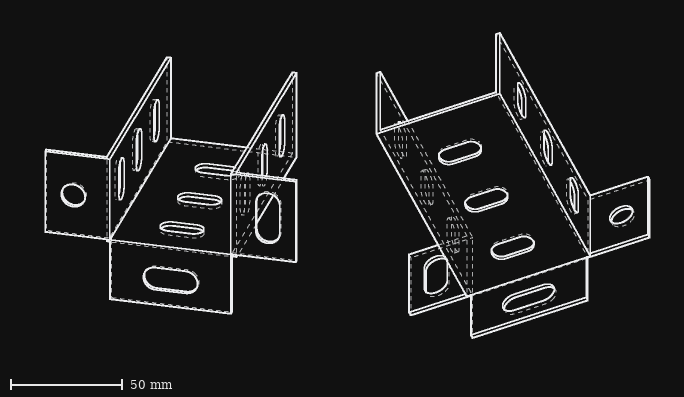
import cadquery as cq

width = 116.0
depth = 105.0
height = 70.0

thickness = 2.0
inner_width = 56.0
tab_height = 29.7
floor_top = tab_height
floor_bottom = floor_top - thickness
flange_width = (width - inner_width) / 2
flange_height = height - floor_top
wall_height = height - floor_bottom

channel_slot_length = 20.0
channel_slot_width = 9.0
first_slot_y = 20.0
slot_pitch = 30.0
slot_count = 3
wall_slot_drop = 19.5

mount_slot_length = 25.0
mount_width = 11.0
mount_inset = 13.0
mount_slot_drop = 20.0
round_hole_drop = 20.4

mount_x = width / 2 - mount_inset
mount_slot_z = height - mount_slot_drop
round_hole_z = height - round_hole_drop


def block(x, y, z, size_x, size_y, size_z):
    """Box with its lowest corner at x, y, z."""
    return cq.Workplane("XY").box(size_x, size_y, size_z, centered=False).translate((x, y, z))


def front_slot(x, z, angle):
    """Cutter for a mounting slot through the front plates."""
    return (
        cq.Workplane("XZ", origin=(x, 0, z))
        .slot2D(mount_slot_length, mount_width, angle)
        .extrude(-thickness)
    )


outer_width = inner_width + 2 * thickness
channel_depth = depth - thickness
channel = block(-outer_width / 2, thickness, floor_bottom, outer_width, channel_depth, wall_height)
channel = channel.cut(
    block(-inner_width / 2, thickness, floor_top, inner_width, channel_depth, flange_height)
)

tab = block(-inner_width / 2, 0, 0, inner_width, thickness, tab_height)
left_flange = block(-width / 2, 0, floor_top, flange_width, thickness, flange_height)
right_flange = block(inner_width / 2, 0, floor_top, flange_width, thickness, flange_height)
bracket = channel.union(tab).union(left_flange).union(right_flange)

for index in range(slot_count):
    slot_y = first_slot_y + index * slot_pitch
    floor_slot = (
        cq.Workplane("XY", origin=(0, slot_y, floor_bottom))
        .slot2D(channel_slot_length, channel_slot_width)
        .extrude(thickness)
    )
    wall_slots = (
        cq.Workplane("YZ", origin=(0, slot_y, height - wall_slot_drop))
        .slot2D(channel_slot_length, channel_slot_width, 90)
        .extrude(outer_width / 2, both=True)
    )
    bracket = bracket.cut(floor_slot).cut(wall_slots)

round_hole = (
    cq.Workplane("XZ", origin=(-mount_x, 0, round_hole_z))
    .circle(mount_width / 2)
    .extrude(-thickness)
)
bracket = bracket.cut(round_hole)
bracket = bracket.cut(front_slot(mount_x, mount_slot_z, 90))
bracket = bracket.cut(front_slot(0, mount_inset, 0))

result = bracket